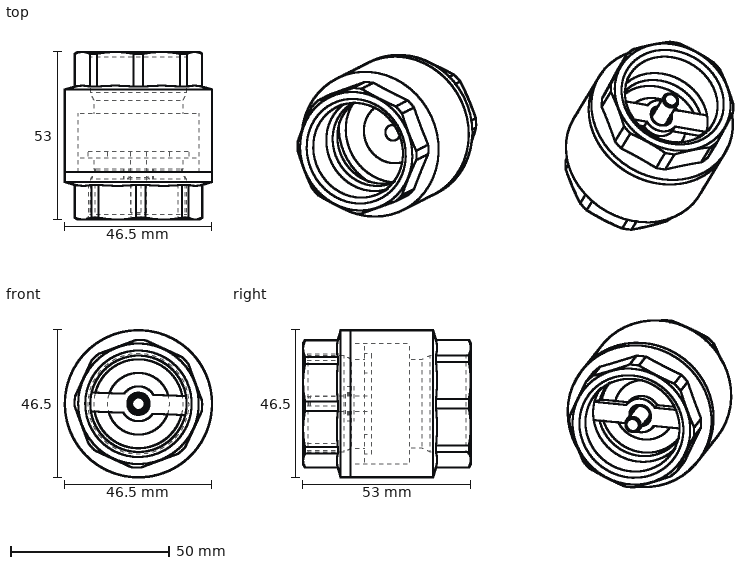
import cadquery as cq
import math


total_length = 53.0
half_length = total_length / 2
barrel_radius = 23.25
cap_length = 15.05
cap_turn = 2.2

octagon_sides = 8
corner_radius = 20.15
flat_radius = 19.15
end_face_radius = 19.05
corner_chamfer_angle = 30.0
corner_chamfer_depth = (corner_radius - end_face_radius) * math.tan(math.radians(corner_chamfer_angle))

shoulder_depth = 11.9
shoulder_angle = 16.5
shoulder_run = (barrel_radius - flat_radius) * math.tan(math.radians(shoulder_angle))

socket_radius = 15.2
socket_mouth_radius = 16.8
socket_mouth_depth = 1.6
socket_depth = 12.9
throat_radius = 14.05
throat_depth = 15.35

seat_depth = 19.45
seat_y = -half_length + seat_depth
chamber_radius = 19.1

bridge_width = 6.0
bridge_thickness = 3.2
hub_radius = 5.5
guide_hole_radius = 3.0
guide_chamfer = 0.5

stem_radius = 2.5
stem_chamfer = 0.5
stem_recess = 1.85
retainer_radius = 9.75
seal_radius = 15.9
plate_thickness = 2.1


def revolved(points):
    """Solid of revolution about Y from (y, radius) points."""
    return cq.Workplane("YZ").polyline(points).close().revolve(360, (0, 0, 0), (1, 0, 0))


def cylinder(radius, y_start, y_end):
    """Cylinder on the Y axis between two stations."""
    return revolved([(y_start, 0), (y_start, radius), (y_end, radius), (y_end, 0)])


def wrench_end():
    """Octagonal end at -Y, with rounded corners and a chamfered outer end."""
    prism = (
        cq.Workplane("XZ", origin=(0, -half_length, 0))
        .transformed(rotate=(0, 0, 180 / octagon_sides))
        .polygon(octagon_sides, 2 * flat_radius, circumscribed=True)
        .extrude(-shoulder_depth)
    )
    envelope = revolved([
        (-half_length, 0),
        (-half_length, end_face_radius),
        (-half_length + corner_chamfer_depth, corner_radius),
        (-half_length + shoulder_depth, corner_radius),
        (-half_length + shoulder_depth, 0),
    ])
    return prism.intersect(envelope)


def barrel(y_end):
    """Round barrel from the -Y shoulder cone to y_end."""
    shoulder_y = -half_length + shoulder_depth
    return revolved([
        (shoulder_y - shoulder_run, 0),
        (shoulder_y - shoulder_run, flat_radius),
        (shoulder_y, barrel_radius),
        (y_end, barrel_radius),
        (y_end, 0),
    ])


def socket():
    """Cutter for the stepped passage from the -Y end face to the seat."""
    return revolved([
        (-half_length, 0),
        (-half_length, socket_mouth_radius),
        (-half_length + socket_mouth_depth, socket_radius),
        (-half_length + socket_depth, socket_radius),
        (-half_length + throat_depth, throat_radius),
        (seat_y, throat_radius),
        (seat_y, 0),
    ])


def guide_bridge():
    """Bar with a round hub across the passage, bored to guide the stem."""
    front_y = -half_length + socket_depth
    back_y = front_y + bridge_thickness
    bar = cq.Workplane("XY").box(2 * socket_radius, bridge_thickness, bridge_width)
    bar = bar.translate((0, (front_y + back_y) / 2, 0))
    bar = bar.intersect(cylinder(socket_radius, front_y, back_y))
    hole = revolved([
        (front_y, 0),
        (front_y, guide_hole_radius + guide_chamfer),
        (front_y + guide_chamfer, guide_hole_radius),
        (back_y, guide_hole_radius),
        (back_y, 0),
    ])
    return bar.union(cylinder(hub_radius, front_y, back_y)).cut(hole)


def make_cap():
    """End cap with its wrench end, seat spigot and guide bridge."""
    cap_end_y = -half_length + cap_length
    outside = wrench_end().union(barrel(cap_end_y)).union(cylinder(chamber_radius, cap_end_y, seat_y))
    cap = outside.cut(socket()).union(guide_bridge())
    return cap.rotate((0, 0, 0), (0, 1, 0), cap_turn)


def make_housing():
    """Housing with the +Y wrench end, its socket and the valve chamber."""
    split_y = half_length - cap_length
    shape = wrench_end().union(barrel(split_y)).cut(socket())
    shape = shape.cut(cylinder(chamber_radius, seat_y, split_y))
    return shape.mirror("XZ")


def make_stem():
    """Guide stem, chamfered at its tip, ending flush with the back of the retainer."""
    tip_y = -half_length + stem_recess
    back_y = seat_y + plate_thickness
    return revolved([
        (tip_y, 0),
        (tip_y, stem_radius - stem_chamfer),
        (tip_y + stem_chamfer, stem_radius),
        (back_y, stem_radius),
        (back_y, 0),
    ])


def make_plate_ring(outer_radius, inner_radius):
    """Flat ring of the valve plate, with its front face on the seat."""
    back_y = seat_y + plate_thickness
    return cylinder(outer_radius, seat_y, back_y).cut(cylinder(inner_radius, seat_y, back_y))


housing = make_housing()
cap = make_cap()
stem = make_stem()
retainer = make_plate_ring(retainer_radius, stem_radius)
seal = make_plate_ring(seal_radius, retainer_radius)

result = cq.Compound.makeCompound([housing.val(), cap.val(), stem.val(), retainer.val(), seal.val()])